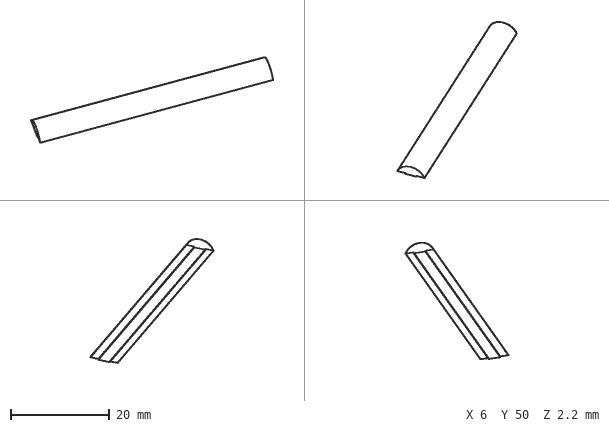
import cadquery as cq

length = 50.0
width = 6.0
total_height = 2.2

rib_width = 2.5
rib_depth = 0.2

dome_height = total_height - rib_depth


def make_domed_bar():
    """Bar with a flat base at Z = 0 and a circular-arc top, extruded along Y."""
    return (
        cq.Workplane("XZ")
        .moveTo(-width / 2, 0)
        .threePointArc((0, dome_height), (width / 2, 0))
        .close()
        .extrude(length / 2, both=True)
    )


def make_rib():
    """Full-length rectangular rib hanging below the flat base."""
    return cq.Workplane("XY").rect(rib_width, length).extrude(-rib_depth)


result = make_domed_bar().union(make_rib())